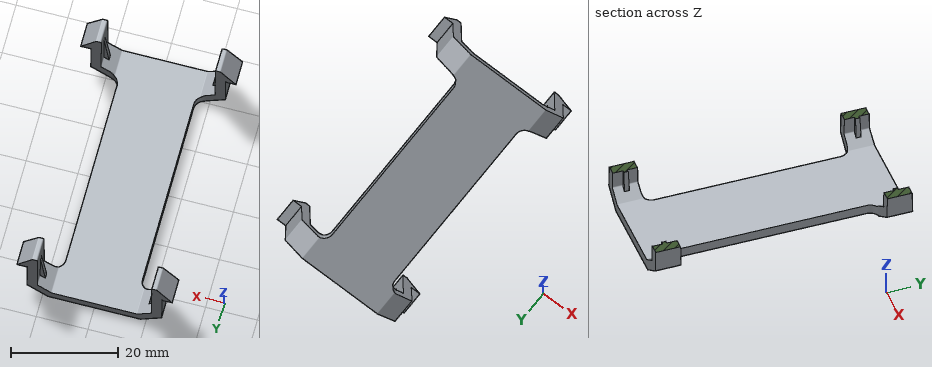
import cadquery as cq
import math

LENGTH = 51.0
HEIGHT = 15.0
BARB_SPAN = 30.0

THICKNESS = 2.0
LEG_SPAN = 26.0
BEND_WIDTH = 4.1
BEND_HEIGHT = 3.0
BARB_Z = 11.0
TIP_THICKNESS = 1.0
EDGE_RADIUS = 0.3

PLATE_WIDTH = 14.8
LEG_WIDTH = 5.2
LEG_DRAFT = 1.0
CORNER_RADIUS = 2.0

RIB_WIDTH = 1.0
RIB_DRAFT = 1.0
RIB_DEPTH = 1.0
RIB_FOOT_Z = 3.25
RIB_TOP_Z = 11.5

OUTER_X = LEG_SPAN / 2
INNER_X = OUTER_X - THICKNESS
BEND_X = OUTER_X - BEND_WIDTH
BEND_ANGLE = math.atan2(BEND_HEIGHT, BEND_WIDTH)
INNER_BEND_X = BEND_X - THICKNESS * math.tan(BEND_ANGLE / 2)
INNER_BEND_Z = BEND_HEIGHT + THICKNESS * math.tan((math.pi / 2 - BEND_ANGLE) / 2)
BARB_X = BARB_SPAN / 2
LEG_Y = (LENGTH - LEG_WIDTH) / 2
BAND_SPAN = 2 * BARB_SPAN


def section_bar():
    """Floor, bends, legs and barbs as one constant section along the full length."""
    floor_bend = (BEND_X, 0)
    leg_bend = (OUTER_X, BEND_HEIGHT)
    barb_root = (OUTER_X, BARB_Z)
    barb_point = (BARB_X, BARB_Z)
    outer_tip = (INNER_X + TIP_THICKNESS, HEIGHT)
    inner_tip = (INNER_X, HEIGHT)
    inner_leg_bend = (INNER_X, INNER_BEND_Z)
    inner_floor_bend = (INNER_BEND_X, THICKNESS)

    outer_half = [floor_bend, leg_bend, barb_root, barb_point]
    inner_half = [outer_tip, inner_tip, inner_leg_bend, inner_floor_bend]
    half = outer_half + inner_half
    mirrored = [(-x, z) for x, z in reversed(half)]
    bar = cq.Workplane("XZ").polyline(half + mirrored).close().extrude(LENGTH / 2, both=True)

    for x, z in [floor_bend, leg_bend] + inner_half:
        for side in (-1, 1):
            edge = cq.selectors.NearestToPointSelector((side * x, 0, z))
            bar = bar.edges(edge).fillet(EDGE_RADIUS)
    return bar


def plan_block():
    """Full-height block with the plan outline: floor strip and a drafted leg band at each end."""
    block = cq.Workplane("XY").rect(PLATE_WIDTH, 2 * LEG_Y).extrude(HEIGHT)
    for side in (-1, 1):
        band = (
            cq.Workplane("XY", origin=(0, side * LEG_Y, 0))
            .rect(BAND_SPAN, LEG_WIDTH)
            .extrude(HEIGHT, taper=LEG_DRAFT)
        )
        block = block.union(band)

    corner_x = PLATE_WIDTH / 2
    corner_y = LEG_Y - LEG_WIDTH / 2
    for x in (-corner_x, corner_x):
        for y in (-corner_y, corner_y):
            corner = cq.selectors.NearestToPointSelector((x, y, HEIGHT / 2))
            block = block.edges(corner).fillet(CORNER_RADIUS)
    return block


def rib(x_side, y_side):
    """Wedge-shaped rib with drafted sides on the inner face of one leg, rooted inside the leg."""
    root_x = (INNER_X + OUTER_X) / 2
    profile = [
        (x_side * (INNER_X - RIB_DEPTH), RIB_FOOT_Z),
        (x_side * INNER_X, RIB_TOP_Z),
        (x_side * root_x, RIB_TOP_Z),
        (x_side * root_x, RIB_FOOT_Z),
    ]
    wedge = (
        cq.Workplane("XZ", origin=(0, y_side * LEG_Y, 0))
        .polyline(profile)
        .close()
        .extrude(RIB_WIDTH, both=True)
    )
    drafted_sides = (
        cq.Workplane("XY", origin=(0, y_side * LEG_Y, RIB_FOOT_Z))
        .rect(BAND_SPAN, RIB_WIDTH)
        .extrude(RIB_TOP_Z - RIB_FOOT_Z, taper=RIB_DRAFT)
    )
    return wedge.intersect(drafted_sides)


result = section_bar().intersect(plan_block())
for x_side in (-1, 1):
    for y_side in (-1, 1):
        result = result.union(rib(x_side, y_side))